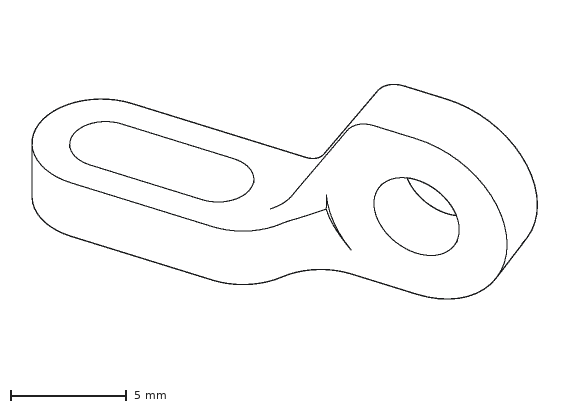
import cadquery as cq
import math

length = 22.49
width = 6.0
foot_height = 3.0
wall_thickness = 3.0
wall_face_y = width - wall_thickness

eye_radius = 4.35
eye_hole_diameter = 4.1
eye_x = length - eye_radius
eye_z = eye_radius
height = 2 * eye_radius

slot_width = 3.1
slot_start_x = 1.65
slot_end_x = 10.15

foot_end_radius = width / 2
bend_start_x = 9.8
bend_angle = math.radians(60)
bend_radius = wall_face_y / (2 * (1 - math.cos(bend_angle)))

slope_angle = math.radians(60)
slope_foot_x = 11.94
slope_top_x = slope_foot_x + (height - foot_height) / math.tan(slope_angle)
slope_top_radius = 1.5
root_radius = 1.0


def foot_and_wall_plan():
    """XY outline: round-ended foot that bends back to the thinner wall."""
    bend_middle_x = bend_start_x + bend_radius * math.sin(bend_angle)
    bend_end_x = bend_start_x + 2 * bend_radius * math.sin(bend_angle)
    return (
        cq.Workplane("XY")
        .moveTo(foot_end_radius, 0)
        .lineTo(bend_start_x, 0)
        .radiusArc((bend_middle_x, wall_face_y / 2), -bend_radius)
        .radiusArc((bend_end_x, wall_face_y), bend_radius)
        .lineTo(length, wall_face_y)
        .lineTo(length, width)
        .lineTo(foot_end_radius, width)
        .threePointArc((0, width / 2), (foot_end_radius, 0))
        .close()
        .extrude(height)
    )


def side_profile():
    """XZ outline: low foot, sloped edge with rounded ends, and the round eye."""
    root_setback = root_radius * math.tan(slope_angle / 2)
    top_setback = slope_top_radius * math.tan(slope_angle / 2)
    slope_x = math.cos(slope_angle)
    slope_z = math.sin(slope_angle)
    root_end = (slope_foot_x + root_setback * slope_x, foot_height + root_setback * slope_z)
    top_start = (slope_top_x - top_setback * slope_x, height - top_setback * slope_z)
    return (
        cq.Workplane("XZ")
        .lineTo(eye_x, 0)
        .threePointArc((length, eye_z), (eye_x, height))
        .lineTo(slope_top_x + top_setback, height)
        .radiusArc(top_start, -slope_top_radius)
        .lineTo(*root_end)
        .radiusArc((slope_foot_x - root_setback, foot_height), root_radius)
        .lineTo(0, foot_height)
        .close()
        .extrude(-width)
    )


def end_profile():
    """YZ outline: foot and wall joined by a concave root fillet."""
    return (
        cq.Workplane("YZ")
        .lineTo(width, 0)
        .lineTo(width, height)
        .lineTo(wall_face_y, height)
        .lineTo(wall_face_y, foot_height + root_radius)
        .radiusArc((wall_face_y - root_radius, foot_height), root_radius)
        .lineTo(0, foot_height)
        .close()
        .extrude(length)
    )


def eye_cylinder(radius, depth):
    """Cylinder on the eye axis, from Y = 0 to the given depth."""
    return cq.Workplane("XZ").center(eye_x, eye_z).circle(radius).extrude(-depth)


def foot_slot():
    """Round-ended slot through the height of the foot."""
    return (
        cq.Workplane("XY")
        .center((slot_start_x + slot_end_x) / 2, width / 2)
        .slot2D(slot_end_x - slot_start_x, slot_width)
        .extrude(foot_height)
    )


body = foot_and_wall_plan().intersect(side_profile()).intersect(end_profile())

body = body.cut(eye_cylinder(eye_radius, wall_face_y))

body = body.cut(eye_cylinder(eye_hole_diameter / 2, width))
result = body.cut(foot_slot())